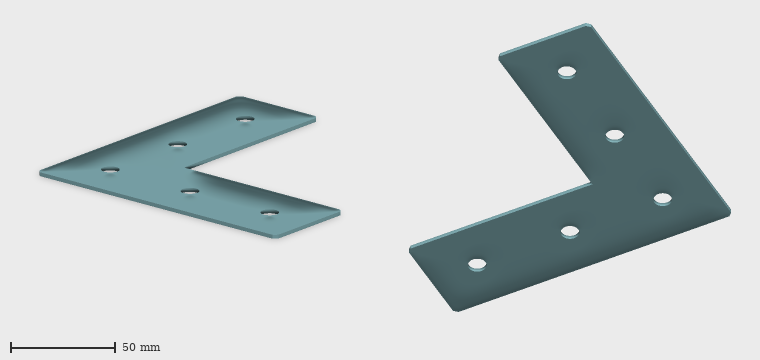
import cadquery as cq

arm_length = 150.0
arm_width = arm_length / 3
thickness = 2.0
hole_diameter = 9.0
corner_chamfer = 2.0
holes_per_arm = 3

plate = (
    cq.Workplane("XY")
    .moveTo(0, 0)
    .lineTo(arm_length, 0)
    .lineTo(arm_length, arm_width)
    .lineTo(arm_width, arm_width)
    .lineTo(arm_width, arm_length)
    .lineTo(0, arm_length)
    .close()
    .extrude(thickness)
)

outer_corners = plate.edges("|Z").edges("<X or >X or >Y")
plate = outer_corners.chamfer(corner_chamfer)

hole_offsets = [(i + 0.5) * arm_width for i in range(holes_per_arm)]
first_offset = hole_offsets[0]
hole_centers = [(x, first_offset) for x in hole_offsets]
hole_centers += [(first_offset, y) for y in hole_offsets[1:]]
hole_cutters = (
    cq.Workplane("XY")
    .pushPoints(hole_centers)
    .circle(hole_diameter / 2)
    .extrude(thickness)
)

result = plate.cut(hole_cutters)